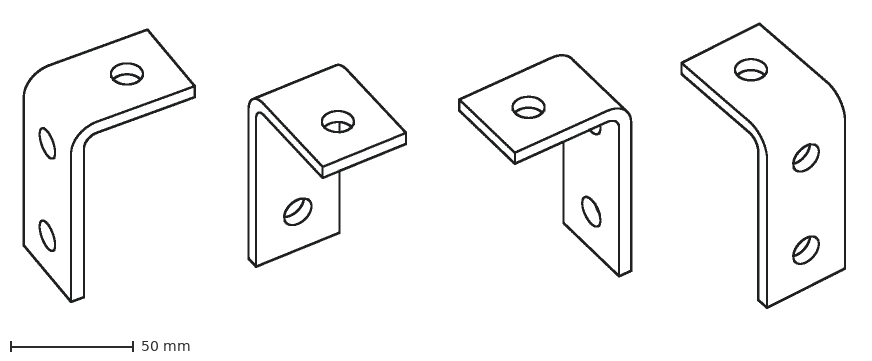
import cadquery as cq

width = 40.0
depth = 57.5
height = 92.5
thickness = 6.0
outer_bend_radius = 12.0
inner_bend_radius = outer_bend_radius - thickness

hole_diameter = 13.0
hole_end_distance = 20.5
upright_hole_spacing = 49.95


def make_bent_strip():
    """L-shaped strip, with the outer bend tangents meeting at Y = 0, Z = height."""
    profile = (
        cq.Workplane("YZ")
        .moveTo(0, 0)
        .lineTo(0, height - outer_bend_radius)
        .radiusArc((outer_bend_radius, height), outer_bend_radius)
        .lineTo(depth, height)
        .lineTo(depth, height - thickness)
        .lineTo(outer_bend_radius, height - thickness)
        .radiusArc((thickness, height - outer_bend_radius), -inner_bend_radius)
        .lineTo(thickness, 0)
        .close()
    )
    return profile.extrude(width / 2, both=True)


def make_hole_cutter(start, direction):
    """Cylinder that passes through one leg."""
    return cq.Solid.makeCylinder(
        hole_diameter / 2, thickness, cq.Vector(*start), cq.Vector(*direction)
    )


result = make_bent_strip()

for hole_z in (hole_end_distance, hole_end_distance + upright_hole_spacing):
    result = result.cut(make_hole_cutter((0, 0, hole_z), (0, 1, 0)))

top_hole_y = depth - hole_end_distance
result = result.cut(make_hole_cutter((0, top_hole_y, height), (0, 0, -1)))